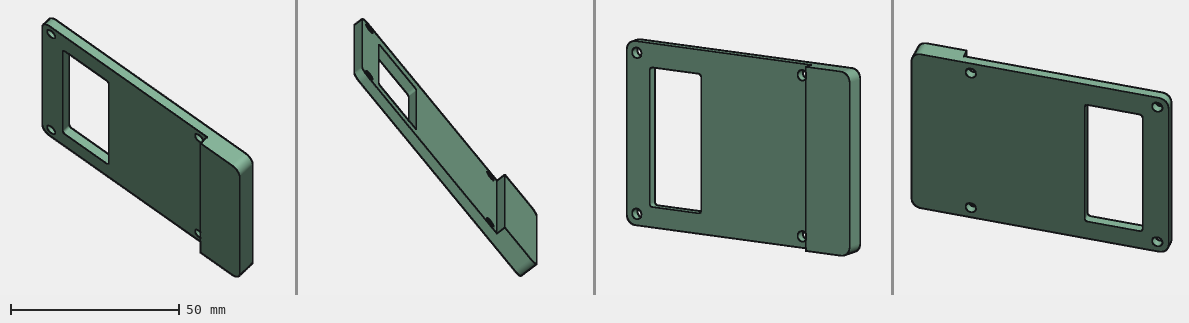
import cadquery as cq

length = 80.0
height = 56.0
block_depth = 6.0
plate_depth = block_depth / 2
corner_radius = block_depth / 2

block_length = 15.4

hole_diameter = 3.2
hole_inset = 3.5
hole_spacing_x = 58.0

window_width = 18.0
window_height = 42.4
window_left_margin = 8.1
window_bottom_margin = 6.2
window_radius = 1.0

left = -length / 2
bottom = -height / 2


def front_box(width, tall, depth, center_x, center_z):
    """Box rising from the back face towards -Y."""
    return (
        cq.Workplane("XZ")
        .center(center_x, center_z)
        .rect(width, tall)
        .extrude(depth)
    )


def make_body():
    """Thin plate joined to the thick end block, with rounded outer corners."""
    plate = front_box(length, height, plate_depth, 0, 0)
    block = front_box(block_length, height, block_depth, (length - block_length) / 2, 0)
    outline = front_box(length, height, block_depth, 0, 0).edges("|Y").fillet(corner_radius)
    return plate.union(block).intersect(outline)


def make_window():
    """Cutter for the window, with rounded corners."""
    center_x = left + window_left_margin + window_width / 2
    center_z = bottom + window_bottom_margin + window_height / 2
    window = front_box(window_width, window_height, plate_depth, center_x, center_z)
    return window.edges("|Y").fillet(window_radius)


def make_holes():
    """Cutters for the four through holes."""
    first_x = left + hole_inset
    hole_z = height / 2 - hole_inset
    points = [(x, z) for x in (first_x, first_x + hole_spacing_x) for z in (-hole_z, hole_z)]
    return cq.Workplane("XZ").pushPoints(points).circle(hole_diameter / 2).extrude(plate_depth)


result = make_body().cut(make_window()).cut(make_holes())